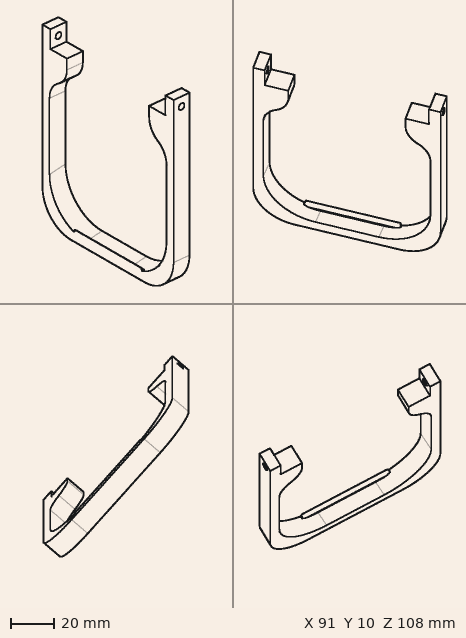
import cadquery as cq
import math

width = 91.0
depth = 10.0
height = 108.0
outer_corner_radius = 20.0

side_wall = 5.0
inner_corner_radius = 25.2
floor_front = 3.9
floor_back = 5.6
lower_opening_top = 54.0

tab_thickness = 5.6
shoulder_height = 97.2
shoulder_reach = 17.1
shoulder_curve_top = 91.3
shoulder_curve_radius = 12.0

hole_diameter = 3.6
hole_height = 102.5

lip_top = 6.9
lip_back_top = 5.0
lip_base = 2.2
lip_thickness = 1.9
lip_top_length = 45.8
lip_end_slope = 0.45

half_width = width / 2
front_y = -depth / 2
inner_x = half_width - side_wall
shoulder_x = half_width - shoulder_reach
tab_x = half_width - tab_thickness


def outer_block():
    block = cq.Workplane("XY").box(width, depth, height, centered=(True, True, False))
    return block.edges("|Y and <Z").fillet(outer_corner_radius)


def upper_opening():
    """Opening between the arms, with an S-curve below each shoulder."""
    radius = shoulder_curve_radius
    half_step = (inner_x - shoulder_x) / 2
    angle = math.acos(1 - half_step / radius)
    half_drop = radius * math.sin(angle)
    bulge = radius * (1 - math.cos(angle / 2))
    bulge_drop = radius * math.sin(angle / 2)
    curve_bottom = shoulder_curve_top - 2 * half_drop

    half_profile = (
        cq.Workplane("XZ", origin=(0, depth / 2, 0))
        .moveTo(0, height)
        .lineTo(tab_x, height)
        .lineTo(tab_x, shoulder_height)
        .lineTo(shoulder_x, shoulder_height)
        .lineTo(shoulder_x, shoulder_curve_top)
        .threePointArc(
            (shoulder_x + bulge, shoulder_curve_top - bulge_drop),
            (shoulder_x + half_step, shoulder_curve_top - half_drop),
        )
        .threePointArc(
            (inner_x - bulge, curve_bottom + bulge_drop),
            (inner_x, curve_bottom),
        )
        .lineTo(inner_x, lower_opening_top)
        .lineTo(0, lower_opening_top)
        .close()
    )
    right_half = half_profile.extrude(depth)
    return right_half.union(right_half.mirror("YZ"))


def opening_wire(y, floor):
    """U-shaped section of the lower opening at one Y position."""
    radius = inner_corner_radius
    flat_x = inner_x - radius
    arc_x = flat_x + radius * math.sin(math.pi / 4)
    arc_z = floor + radius * (1 - math.cos(math.pi / 4))
    return (
        cq.Workplane("XZ", origin=(0, y, 0))
        .moveTo(-inner_x, lower_opening_top)
        .lineTo(-inner_x, floor + radius)
        .threePointArc((-arc_x, arc_z), (-flat_x, floor))
        .lineTo(flat_x, floor)
        .threePointArc((arc_x, arc_z), (inner_x, floor + radius))
        .lineTo(inner_x, lower_opening_top)
        .close()
        .val()
    )


def lower_opening():
    sections = [opening_wire(front_y, floor_front), opening_wire(depth / 2, floor_back)]
    return cq.Workplane(cq.Solid.makeLoft(sections, True))


def lip():
    base_half_length = lip_top_length / 2 + lip_end_slope * (lip_top - lip_base)
    back_y = front_y + lip_thickness
    wedge = (
        cq.Workplane("YZ")
        .polyline([
            (front_y, lip_base),
            (front_y, lip_top),
            (back_y, lip_back_top),
            (back_y, lip_base),
        ])
        .close()
        .extrude(base_half_length, both=True)
    )
    slanted_ends = (
        cq.Workplane("XZ")
        .polyline([
            (-base_half_length, lip_base),
            (-lip_top_length / 2, lip_top),
            (lip_top_length / 2, lip_top),
            (base_half_length, lip_base),
        ])
        .close()
        .extrude(depth, both=True)
    )
    return wedge.intersect(slanted_ends)


def tab_holes():
    return (
        cq.Workplane("YZ", origin=(-half_width, 0, 0))
        .center(0, hole_height)
        .circle(hole_diameter / 2)
        .extrude(width)
    )


frame = outer_block().cut(upper_opening()).cut(lower_opening())
result = frame.union(lip()).cut(tab_holes())